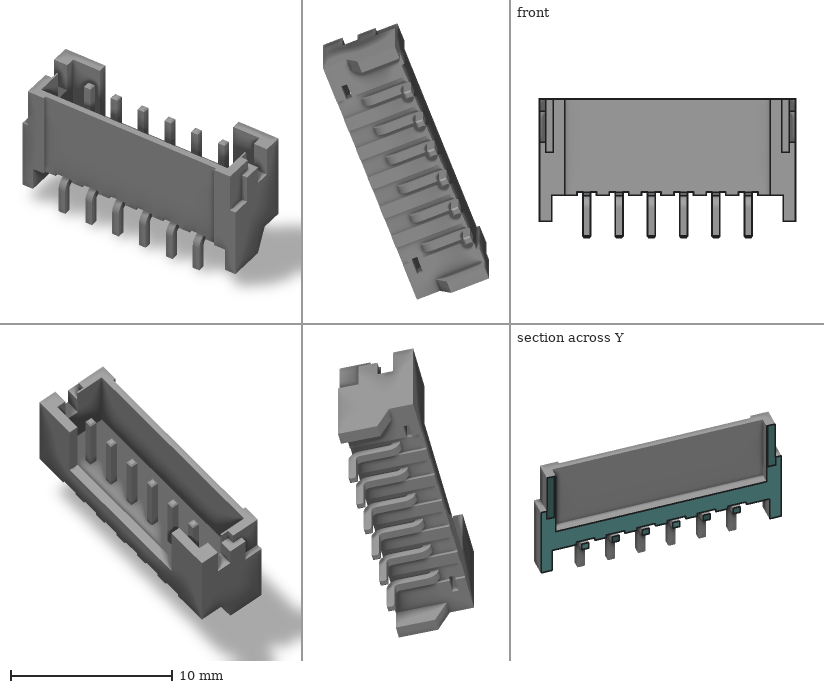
import cadquery as cq


length = 15.9
depth = 4.8
body_height = 6.0
foot_height = 1.6
foot_width = 0.78
foot_heel = 3.26
foot_toe = 2.51
back_y = depth
body_bottom = -body_height
foot_bottom = body_bottom - foot_height

side_wall = 0.99
back_wall = 0.62
front_wall_inner = 0.6
cavity_depth = 4.5
front_recess = 0.19
corner_width = 1.59
back_gap_margin = 2.97
back_gap_depth = 4.0
side_notch_front = 2.51
side_notch_width = 1.0
side_notch_depth = 2.0

window_margin = 1.5
window_length = 1.0
window_width = 0.38
groove_width = 1.2
groove_depth = 0.2

tab_margin = 0.4
tab_thickness = 0.48
tab_width = 1.97
tab_height = 3.3
upper_step_depth = 0.76
lower_step_depth = 2.69
lower_step_width = 1.3

pin_count = 6
pin_pitch = 2.0
pin_size = 0.5
pin_post_y = 3.07
pin_top = -0.4
pin_bottom = -8.6
pin_run_clearance = 0.02
pin_run_top = body_bottom - pin_run_clearance
bend_inner = 0.25
bend_outer = bend_inner + pin_size
pin_tip_chamfer = 0.1

pin_positions = [(i - (pin_count - 1) / 2) * pin_pitch for i in range(pin_count)]


def block(x0, x1, y0, y1, z0, z1):
    """Box between two opposite corners."""
    return cq.Workplane("XY").box(x1 - x0, y1 - y0, z1 - z0, centered=False).translate((x0, y0, z0))


def end_block(x0, x1, y0, y1, z0, z1):
    """Box at the left end and its mirror image at the right end; x is counted from the end face."""
    left = block(x0 - length / 2, x1 - length / 2, y0, y1, z0, z1)
    return left.add(left.mirror("YZ")).combine()


def make_pin(x):
    """Square pin: post up into the cavity, run forward under the floor, leg down at the front."""
    post_front = pin_post_y - pin_size / 2
    post_back = pin_post_y + pin_size / 2
    run_bottom = pin_run_top - pin_size
    pin = (
        cq.Workplane("YZ")
        .moveTo(post_back, pin_top)
        .lineTo(post_front, pin_top)
        .lineTo(post_front, pin_run_top + bend_inner)
        .radiusArc((post_front - bend_inner, pin_run_top), bend_inner)
        .lineTo(bend_outer, pin_run_top)
        .radiusArc((0, pin_run_top - bend_outer), -bend_outer)
        .lineTo(0, pin_bottom)
        .lineTo(pin_size, pin_bottom)
        .lineTo(pin_size, run_bottom - bend_inner)
        .radiusArc((bend_outer, run_bottom), bend_inner)
        .lineTo(post_back - bend_outer, run_bottom)
        .radiusArc((post_back, run_bottom + bend_outer), -bend_outer)
        .close()
        .extrude(pin_size / 2, both=True)
    )
    pin = pin.faces(">Z or <Z").chamfer(pin_tip_chamfer)
    return pin.translate((x, 0, 0))


def make_tabs():
    """Flat retaining tabs standing in the front corners, one solid per end."""
    return end_block(tab_margin, tab_margin + tab_thickness, 0, tab_width, -tab_height, 0)


def make_feet():
    """Side feet with a sloped back, one under each end wall."""
    left = (
        cq.Workplane("YZ")
        .polyline([(0, body_bottom), (foot_heel, body_bottom), (foot_toe, foot_bottom), (0, foot_bottom)])
        .close()
        .extrude(foot_width)
        .translate((-length / 2, 0, 0))
    )
    return left.add(left.mirror("YZ")).combine()


def make_housing(pins, tabs):
    """Open box with feet, stepped ends and openings that match the pins and tabs."""
    half = length / 2
    inner_half = half - side_wall
    corner_half = half - corner_width
    gap_half = half - back_gap_margin
    cavity_back = back_y - back_wall

    housing = block(-half, half, 0, back_y, body_bottom, 0).union(make_feet())
    housing = housing.cut(block(-inner_half, inner_half, front_wall_inner, cavity_back, -cavity_depth, 0))
    housing = housing.cut(block(-corner_half, corner_half, 0, front_recess, body_bottom, 0))
    housing = housing.cut(block(-gap_half, gap_half, cavity_back, back_y, -back_gap_depth, 0))

    side_notch_back = side_notch_front + side_notch_width
    housing = housing.cut(end_block(0, side_wall, side_notch_front, side_notch_back, -side_notch_depth, 0))
    window_end = window_margin + window_length
    housing = housing.cut(
        end_block(window_margin, window_end, cavity_back - window_width, cavity_back, body_bottom, 0)
    )

    lip = tab_margin + tab_thickness
    housing = housing.cut(end_block(0, lip, 0, side_notch_front, -upper_step_depth, 0))
    housing = housing.cut(end_block(0, lip, 0, lower_step_width, -lower_step_depth, 0))

    for x in pin_positions:
        groove_top = body_bottom + groove_depth
        housing = housing.cut(
            block(x - groove_width / 2, x + groove_width / 2, 0, back_y, body_bottom, groove_top)
        )

    for pin in pins:
        housing = housing.cut(pin)
    return housing.cut(tabs)


pins = [make_pin(x) for x in pin_positions]
tabs = make_tabs()
housing = make_housing(pins, tabs)

result = cq.Compound.makeCompound([housing.val(), *[pin.val() for pin in pins], *tabs.solids().vals()])